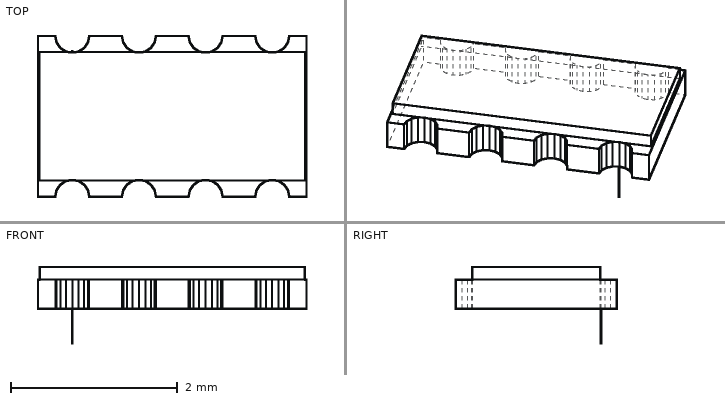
import cadquery as cq

base_length = 3.22
base_width = 1.93
base_thickness = 0.35
notch_radius = 0.203
notch_polygon_sides = 16
notch_pitch = 0.8
notches_per_side = 4

lid_end_inset = 0.023
lid_length = base_length - 2 * lid_end_inset
lid_width = 1.535
lid_thickness = 0.15

pin_diameter = 0.01
pin_length = 0.42
pin_y = 0.775

first_notch_x = -notch_pitch * (notches_per_side - 1) / 2
notch_xs = [first_notch_x + i * notch_pitch for i in range(notches_per_side)]


def make_base():
    """Plate standing on Z = 0, notched along its two long edges."""
    plate = cq.Workplane("XY").box(
        base_length, base_width, base_thickness, centered=(True, True, False)
    )
    notch_centres = [(x, side * base_width / 2) for x in notch_xs for side in (-1, 1)]
    notches = (
        cq.Workplane("XY")
        .pushPoints(notch_centres)
        .polygon(notch_polygon_sides, 2 * notch_radius)
        .extrude(base_thickness)
    )
    return plate.cut(notches)


def make_lid():
    """Plate resting on the base, its long sides just covering the notch bottoms."""
    top_of_base = cq.Workplane("XY").workplane(offset=base_thickness)
    return top_of_base.box(lid_length, lid_width, lid_thickness, centered=(True, True, False))


def make_pin():
    """Rod hanging down from Z = 0 at the inner end of the first notch on the +Y side."""
    return (
        cq.Workplane("XY")
        .center(first_notch_x, pin_y)
        .circle(pin_diameter / 2)
        .extrude(-pin_length)
    )


base = make_base()
lid = make_lid()
pin = make_pin()

result = cq.Compound.makeCompound([base.val(), lid.val(), pin.val()])